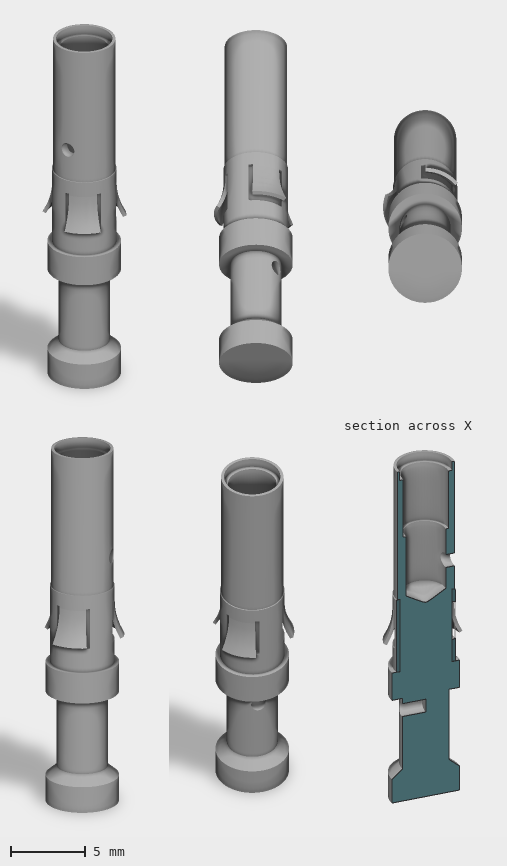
import cadquery as cq
import math

length = 25.2
base_top = 1.85
cone_top = 2.5
flange_bottom = 7.84
flange_top = 9.95
sleeve_top = 15.42

flange_radius = 2.47
neck_radius = 1.71
tube_radius = 2.1
mouth_radius = 1.9

mouth_depth = 0.65
bore_radius = 1.65
bore_bottom = 20.15
pilot_radius = 1.44
pilot_bottom = 15.62
drill_tip_angle = 118.0

inspection_radius = 0.5
tube_hole_height = 17.7
neck_hole_height = 6.95

sleeve_radius = 2.17
sleeve_thickness = 0.25
seat_radius = sleeve_radius - sleeve_thickness
window_top = 14.46
window_bottom = 11.6
window_width = 2.4
window_corner = 0.15

finger_bend_height = 14.35
finger_tip_height = 11.9
finger_tip_radius = 2.82
finger_sweep = 51.0
finger_count = 3
first_finger_angle = 55.1
finger_pitch = 122.5


def contact_blank():
    """Solid of revolution: foot, cone, neck, flange, sleeve seat and socket tube."""
    return (
        cq.Workplane("XZ")
        .lineTo(flange_radius, 0)
        .lineTo(flange_radius, base_top)
        .lineTo(neck_radius, cone_top)
        .lineTo(neck_radius, flange_bottom)
        .lineTo(flange_radius, flange_bottom)
        .lineTo(flange_radius, flange_top)
        .lineTo(seat_radius, flange_top)
        .lineTo(seat_radius, sleeve_top)
        .lineTo(tube_radius, sleeve_top)
        .lineTo(tube_radius, length)
        .lineTo(0, length)
        .close()
        .revolve(360, (0, 0, 0), (0, 1, 0))
    )


def socket_bore():
    """Stepped bore with a wider mouth and a conical drill point."""
    mouth_bottom = length - mouth_depth
    tip_height = pilot_bottom - pilot_radius / math.tan(math.radians(drill_tip_angle / 2))
    return (
        cq.Workplane("XZ")
        .moveTo(0, tip_height)
        .lineTo(pilot_radius, pilot_bottom)
        .lineTo(pilot_radius, bore_bottom)
        .lineTo(bore_radius, bore_bottom)
        .lineTo(bore_radius, mouth_bottom)
        .lineTo(mouth_radius, mouth_bottom)
        .lineTo(mouth_radius, length)
        .lineTo(0, length)
        .close()
        .revolve(360, (0, 0, 0), (0, 1, 0))
    )


def inspection_hole(height, side):
    """Radial hole from the axis outward: side is -1 for -Y and +1 for +Y."""
    return cq.Workplane(
        cq.Solid.makeCylinder(
            inspection_radius, flange_radius, cq.Vector(0, 0, height), cq.Vector(0, side, 0)
        )
    )


def finger_root_keeper():
    """Sector around +X, between bend and slot tops, where the sleeve wall stays to carry the finger."""
    return (
        cq.Workplane("XZ")
        .moveTo(0, finger_bend_height)
        .lineTo(finger_tip_radius, finger_bend_height)
        .lineTo(finger_tip_radius, window_top)
        .lineTo(0, window_top)
        .close()
        .revolve(finger_sweep, (0, 0, 0), (0, 1, 0))
        .rotate((0, 0, 0), (0, 0, 1), -finger_sweep / 2)
    )


def window_cutter():
    """Opening through the sleeve wall on +X, rounded at its lower corners and clear of the finger root."""
    window_height = window_top - window_bottom
    return (
        cq.Workplane("XY")
        .box(flange_radius, window_width, window_height, centered=(False, True, False))
        .edges("|X and <Z")
        .fillet(window_corner)
        .translate((0, 0, window_bottom))
        .cut(finger_root_keeper())
    )


def spring_finger():
    """Finger centred on +X: an arc tangent to the sleeve wall, flaring outward."""
    flare = finger_tip_radius - sleeve_radius
    drop = finger_bend_height - finger_tip_height
    bend_radius = (drop**2 + flare**2) / (2 * flare)
    tip_angle = math.asin(drop / bend_radius)
    bend_center_x = sleeve_radius + bend_radius

    def on_bend(radius, angle):
        return (
            bend_center_x - radius * math.cos(angle),
            finger_bend_height - radius * math.sin(angle),
        )

    inner_bend_radius = bend_radius + sleeve_thickness
    return (
        cq.Workplane("XZ")
        .moveTo(sleeve_radius, finger_bend_height)
        .threePointArc(on_bend(bend_radius, tip_angle / 2), on_bend(bend_radius, tip_angle))
        .lineTo(*on_bend(inner_bend_radius, tip_angle))
        .threePointArc(on_bend(inner_bend_radius, tip_angle / 2), on_bend(inner_bend_radius, 0))
        .close()
        .revolve(finger_sweep, (0, 0, 0), (0, 1, 0))
        .rotate((0, 0, 0), (0, 0, 1), -finger_sweep / 2)
    )


def make_contact():
    return (
        contact_blank()
        .cut(socket_bore())
        .cut(inspection_hole(tube_hole_height, -1))
        .cut(inspection_hole(neck_hole_height, 1))
    )


def make_spring_sleeve():
    sleeve = (
        cq.Workplane("XY", origin=(0, 0, flange_top))
        .circle(sleeve_radius)
        .circle(seat_radius)
        .extrude(sleeve_top - flange_top)
    )
    for index in range(finger_count):
        angle = first_finger_angle + index * finger_pitch
        window = window_cutter().rotate((0, 0, 0), (0, 0, 1), angle)
        finger = spring_finger().rotate((0, 0, 0), (0, 0, 1), angle)
        sleeve = sleeve.cut(window).union(finger, clean=False)
    return sleeve


contact = make_contact()
spring_sleeve = make_spring_sleeve()
result = cq.Compound.makeCompound([contact.solids().val(), spring_sleeve.solids().val()])